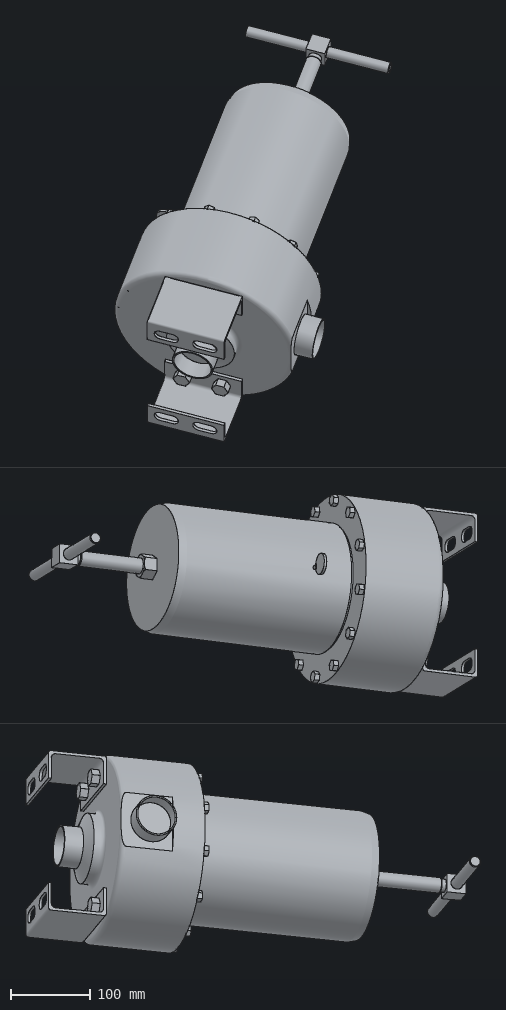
import cadquery as cq
import math


body_radius = 120.5
body_length = 109.0
body_front_fillet = 7.0
casting_length = 67.5
outlet_flat_x = 114.5

housing_radius = 83.5
housing_end = 350.0
housing_taper_length = 10.5
housing_taper_depth = 3.0
groove_width = 3.5
groove_depth = 3.0

hub_radius = 45.0
hub_fillet = 6.0
hub_front = -14.5
hub_cone_front = -23.0

pipe_radius = 26.6
bore_radius = 24.5
inlet_end = -47.5
inlet_bore_bottom = -24.5
outlet_y = 40.0
outlet_end_x = 139.0
outlet_bore_bottom_x = 118.0

handle_end = 483.5
head_size = 25.0
screw_radius = 10.0
screw_end = 452.5
screw_chamfer = 1.0
neck_radius = 8.5
nut_flats = 28.0
nut_length = 17.5
nut_chamfer = 1.5
bar_radius = 7.55
bar_length = 190.0
bar_chamfer = 1.0

flange_bolt_count = 12
flange_bolt_circle = 112.0
flange_bolt_flats = 13.0
flange_bolt_height = 6.5

bracket_end = -76.0
bracket_width = 102.0
bracket_top = 107.5
bracket_lip = 70.0
bracket_thickness = 4.0
bracket_outer_bend = 3.5
bracket_inner_bend = 5.5
bracket_hole_x = 25.45
bracket_hole_z = 86.0
slot_length = 32.0
slot_height = 16.0
bracket_bolt_flats = 19.0
bracket_bolt_height = 10.5

wing_y = 163.0
wing_radius = 13.5
wing_thickness = 3.5
wing_center_x = -102.0
wing_stem_radius = 3.0
wing_stem_overlap = 3.0


def cylinder_y(radius, start, end):
    """Cylinder on the Y axis between two Y positions."""
    return cq.Workplane("XZ", origin=(0, start, 0)).circle(radius).extrude(start - end)


def cylinder_x(radius, start, end, y):
    """Cylinder along X between two X positions, centred on the given Y and on Z = 0."""
    return cq.Workplane("YZ", origin=(start, y, 0)).circle(radius).extrude(end - start)


def hex_prism(flats, start, end, x=0, z=0, turn=0):
    """Hexagonal prism along Y; with no turn two of its corners point to +X and -X."""
    corner_diameter = flats / math.cos(math.pi / 6)
    prism = cq.Workplane("XZ", origin=(0, start, 0)).polygon(6, corner_diameter).extrude(start - end)
    return prism.rotate((0, 0, 0), (0, 1, 0), turn).translate((x, 0, z))


def make_body():
    body = cylinder_y(body_radius, 0, body_length).faces("<Y").edges().fillet(body_front_fillet)
    flat_cut = cq.Workplane("XY").box(
        body_radius, casting_length, 2 * body_radius, centered=(False, False, True)
    )
    return body.cut(flat_cut.translate((outlet_flat_x, 0, 0)))


def make_housing():
    groove_radius = housing_radius - groove_depth
    groove_end = body_length + groove_width
    return (
        cq.Workplane("XY")
        .moveTo(0, body_length)
        .lineTo(groove_radius, body_length)
        .lineTo(groove_radius, groove_end)
        .lineTo(housing_radius, groove_end)
        .lineTo(housing_radius, housing_end - housing_taper_length)
        .lineTo(housing_radius - housing_taper_depth, housing_end)
        .lineTo(0, housing_end)
        .close()
        .revolve(360, (0, 0), (0, 1))
    )


def make_inlet():
    hub = (
        cq.Workplane("XY")
        .lineTo(hub_radius + hub_fillet, 0)
        .radiusArc((hub_radius, -hub_fillet), -hub_fillet)
        .lineTo(hub_radius, hub_front)
        .lineTo(pipe_radius, hub_cone_front)
        .lineTo(0, hub_cone_front)
        .close()
        .revolve(360, (0, 0), (0, 1))
    )
    pipe = cylinder_y(pipe_radius, 0, inlet_end)
    return hub.union(pipe).cut(cylinder_y(bore_radius, inlet_bore_bottom, inlet_end))


def make_outlet():
    inside_body_x = outlet_flat_x - pipe_radius
    pipe = cylinder_x(pipe_radius, inside_body_x, outlet_end_x, outlet_y)
    return pipe.cut(cylinder_x(bore_radius, outlet_bore_bottom_x, outlet_end_x, outlet_y))


def make_handle():
    head_center = handle_end - head_size / 2
    nut_end = housing_end + nut_length
    nut = hex_prism(nut_flats, housing_end, nut_end, turn=90)
    nut_corner_radius = nut_flats / math.sqrt(3)
    nut_envelope = cylinder_y(nut_corner_radius, housing_end, nut_end)
    nut = nut.intersect(nut_envelope.faces(">Y").chamfer(nut_chamfer))
    screw = cylinder_y(screw_radius, housing_end, screw_end).faces(">Y").chamfer(screw_chamfer)
    neck = cylinder_y(neck_radius, screw_end, head_center)
    head = cq.Workplane("XY", origin=(0, head_center, 0)).box(head_size, head_size, head_size)
    bar = cylinder_x(bar_radius, -bar_length / 2, bar_length / 2, head_center)
    bar = bar.faces("<X or >X").chamfer(bar_chamfer)
    return nut.union(screw).union(neck).union(head).union(bar)


def make_flange_bolts():
    step = 360 / flange_bolt_count
    bolt_end = body_length + flange_bolt_height
    first_bolt = hex_prism(flange_bolt_flats, body_length, bolt_end, x=flange_bolt_circle)
    bolts = cq.Workplane("XY")
    for index in range(flange_bolt_count):
        angle = (index + 0.5) * step
        bolts = bolts.add(first_bolt.rotate((0, 0, 0), (0, 1, 0), angle))
    return bolts.combine()


def make_bracket():
    """Upper bracket with its two mounting slots and two bolt heads."""
    height = bracket_top - bracket_lip
    outer = (
        cq.Workplane("XY")
        .box(bracket_width, -bracket_end, height, centered=(True, False, False))
        .translate((0, bracket_end, bracket_lip))
        .edges("|X and >Z")
        .fillet(bracket_outer_bend)
    )
    inner = (
        cq.Workplane("XY")
        .box(
            bracket_width,
            -bracket_end - 2 * bracket_thickness,
            height - bracket_thickness,
            centered=(True, False, False),
        )
        .translate((0, bracket_end + bracket_thickness, bracket_lip))
        .edges("|X and >Z")
        .fillet(bracket_inner_bend)
    )
    slots = (
        cq.Workplane("XZ", origin=(0, bracket_end + bracket_thickness, 0))
        .pushPoints([(-bracket_hole_x, bracket_hole_z), (bracket_hole_x, bracket_hole_z)])
        .slot2D(slot_length, slot_height)
        .extrude(bracket_thickness)
    )
    bracket = outer.cut(inner).cut(slots)
    bolt_end = -bracket_thickness - bracket_bolt_height
    for x in (-bracket_hole_x, bracket_hole_x):
        bolt = hex_prism(bracket_bolt_flats, -bracket_thickness, bolt_end, x=x, z=bracket_hole_z)
        bracket = bracket.union(bolt)
    return bracket


def make_wing_screw():
    stem_start_x = wing_center_x + wing_radius - wing_stem_overlap
    stem_end_x = -housing_radius / 2
    stem = cylinder_x(wing_stem_radius, stem_start_x, stem_end_x, wing_y)
    wing = cylinder_y(wing_radius, wing_y - wing_thickness / 2, wing_y + wing_thickness / 2)
    return stem.union(wing.translate((wing_center_x, 0, 0)))


upper_bracket = make_bracket()
lower_bracket = upper_bracket.mirror("XY")

result = (
    make_body()
    .union(make_housing())
    .union(make_inlet())
    .union(make_outlet())
    .union(make_handle())
    .union(make_flange_bolts())
    .union(upper_bracket)
    .union(lower_bracket)
    .union(make_wing_screw())
)